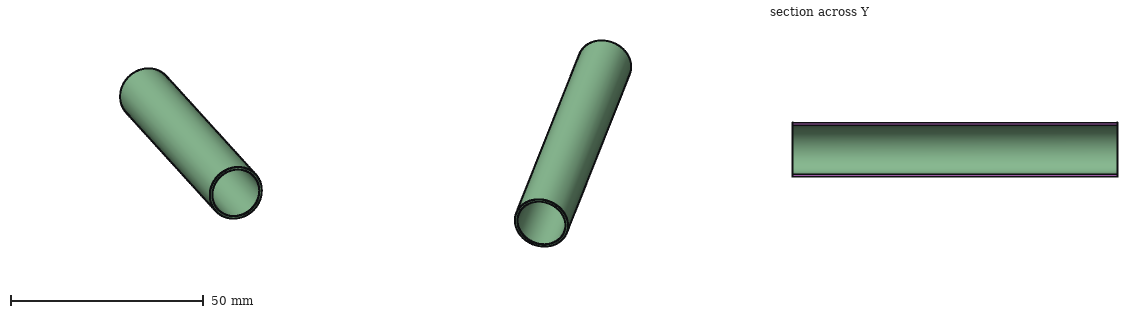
import cadquery as cq

length = 84.4
outer_diameter = 14.2
inner_diameter = 12.6
edge_chamfer = 0.1

tube = (
    cq.Workplane("YZ", origin=(-length / 2, 0, 0))
    .circle(outer_diameter / 2)
    .circle(inner_diameter / 2)
    .extrude(length)
)

result = tube.edges("%CIRCLE").chamfer(edge_chamfer)